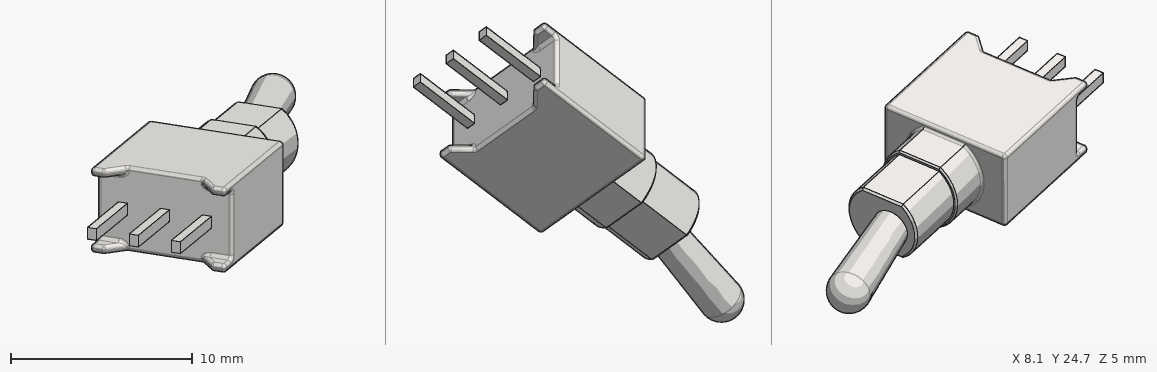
import cadquery as cq
import math


body_width = 8.1
body_length = 7.12
body_height = 5.0
edge_radius = 0.21

embed = 0.5

tab_length = 1.0
tab_thickness = 0.5
tab_end_width = 0.82
tab_root_width = tab_end_width + tab_length

terminal_count = 3
terminal_pitch = 2.52
terminal_width = 0.55
terminal_height = 0.7
terminal_length = 4.3

collar_diameter = 5.0
collar_flat_height = 4.2
collar_length = 2.47
collar_base_radius = 0.15
collar_rim_chamfer = 0.1
sleeve_diameter = 4.6
sleeve_flat_height = 3.75
sleeve_length = 3.63
sleeve_rim_chamfer = 0.12

overall_length = 24.7
lever_tilt = 12.0
ball_radius = 1.25
lever_pivot_depth = 2.77
lever_root_radius = 1.0

collar_end = body_length + collar_length
sleeve_end = collar_end + sleeve_length


def make_body():
    """Box with four corner tabs, rounded along every edge."""
    body = cq.Workplane("XY").box(body_width, body_length, body_height, centered=(True, False, True))
    half_width = body_width / 2
    for side in (-1, 1):
        outline = [
            (side * half_width, embed),
            (side * half_width, -tab_length),
            (side * (half_width - tab_end_width), -tab_length),
            (side * (half_width - tab_root_width), 0),
            (side * (half_width - tab_root_width), embed),
        ]
        for bottom in (-body_height / 2, body_height / 2 - tab_thickness):
            tab = cq.Workplane("XY", origin=(0, 0, bottom)).polyline(outline).close().extrude(tab_thickness)
            body = body.union(tab)
    return body.clean().edges().fillet(edge_radius)


def flatted_cylinder(diameter, flat_height, start, length):
    """Cylinder along +Y from Y = start, cut flat at the top and bottom."""
    cylinder = cq.Workplane("XZ", origin=(0, start, 0)).circle(diameter / 2).extrude(-length)
    flats = cq.Workplane("XY", origin=(0, start, 0)).box(
        diameter, length, flat_height, centered=(True, False, True)
    )
    return cylinder.intersect(flats)


def add_collar(body):
    """Join the collar to the body and blend its foot into the body face."""
    collar = flatted_cylinder(collar_diameter, collar_flat_height, body_length, collar_length)
    collar = collar.faces(">Y").chamfer(collar_rim_chamfer)
    reach = collar_diameter / 2 + collar_base_radius
    foot_edges = cq.selectors.BoxSelector(
        (-reach, body_length - collar_base_radius, -reach),
        (reach, body_length + collar_base_radius, reach),
        boundingbox=True,
    )
    return body.union(collar).edges(foot_edges).fillet(collar_base_radius)


def make_sleeve():
    sleeve = flatted_cylinder(sleeve_diameter, sleeve_flat_height, collar_end, sleeve_length)
    return sleeve.faces(">Y").chamfer(sleeve_rim_chamfer)


def make_terminals():
    terminals = cq.Workplane("XY")
    for index in range(terminal_count):
        x = (index - (terminal_count - 1) / 2) * terminal_pitch
        terminal = cq.Workplane("XY", origin=(x, -terminal_length, 0)).box(
            terminal_width, terminal_length + embed, terminal_height, centered=(True, False, True)
        )
        terminals = terminals.union(terminal)
    return terminals


def make_lever():
    """Ball-ended taper, revolved upright about Y and tilted about its pivot inside the sleeve."""
    pivot_y = sleeve_end - lever_pivot_depth
    ball_y = overall_length - terminal_length - ball_radius
    ball_distance = (ball_y - pivot_y) / math.cos(math.radians(lever_tilt))
    diagonal = ball_radius / math.sqrt(2)
    lever = (
        cq.Workplane("XY")
        .lineTo(-lever_root_radius, 0)
        .lineTo(-ball_radius, ball_distance)
        .threePointArc((-diagonal, ball_distance + diagonal), (0, ball_distance + ball_radius))
        .close()
        .revolve(360, (0, 0), (0, 1))
    )
    return lever.rotate((0, 0, 0), (0, 0, 1), lever_tilt).translate((0, pivot_y, 0))


result = add_collar(make_body()).union(make_sleeve()).union(make_terminals()).union(make_lever())